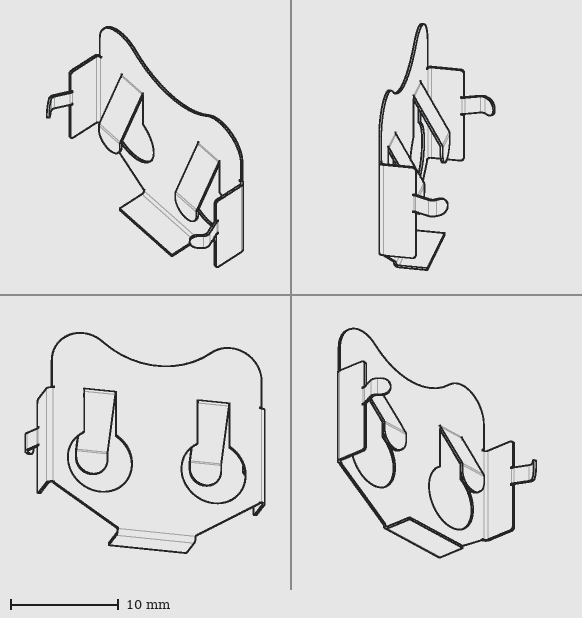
import cadquery as cq
import math

sheet = 0.22
bend_outer = 0.5
bend_inner = bend_outer - sheet
relief_gap = 0.1
joint_overlap = 0.11
overall_length = 22.5

ear_edge_x = 10.12
ear_radius = 3.0
plate_top_z = 19.65
valley_radius = 8.32
shoulder_x = 9.95

flange_x = 10.55
flange_depth = 3.6
flange_bottom_z = 4.55
flange_top_z = 13.93
flange_corner_radius = 0.34

foot_width = 7.52
foot_depth = 3.22
taper_end_z = 0.56

tongue_x = 5.5
tongue_width = 3.02
tongue_reach = 3.0
tongue_root_z = 14.05
tongue_knee_z = 9.1
tongue_tip_z = 6.82
opening_radius = 3.1
opening_z = 7.09
slot_width = 3.1
slot_top_z = 14.1

clip_z = 10.24
clip_width = 1.66
clip_root_depth = 3.49
clip_tip_depth = 6.6
clip_flare_angle = 24.0
clip_return_angle = 41.0
clip_bend_inner = 0.45
clip_bend_outer = clip_bend_inner + sheet
relief_depth = 3.33


def unit(start, end):
    """Unit vector from one 2D point to another."""
    length = math.dist(start, end)
    return ((end[0] - start[0]) / length, (end[1] - start[1]) / length)


def offset_path(points):
    """Path one sheet thickness to the left of the given one, with mitred corners."""
    directions = [unit(a, b) for a, b in zip(points, points[1:])]
    incoming = directions[:1] + directions
    outgoing = directions + directions[-1:]
    path = []
    for (x, y), (ux, uy), (vx, vy) in zip(points, incoming, outgoing):
        miter = sheet / (1 + ux * vx + uy * vy)
        path.append((x - miter * (uy + vy), y + miter * (ux + vx)))
    return path


def bent_strip(plane, points, width, right_radii, left_radii):
    """Strip of sheet whose right-hand face follows the points, centred on the plane.

    Each inner point is a bend, with one radius for each face of the sheet.
    """
    left_points = offset_path(points)
    strip = plane.polyline(points + left_points[::-1]).close().extrude(width / 2, both=True)
    bends = list(zip(points[1:-1], right_radii)) + list(zip(left_points[1:-1], left_radii))
    for corner, radius in bends:
        world_corner = plane.plane.toWorldCoords(corner)
        nearest = cq.selectors.NearestToPointSelector(world_corner.toTuple())
        strip = strip.edges(nearest).fillet(radius)
    return strip


def round_tip(plane, radius):
    """Half disc of sheet that rounds off a strip ending on the plane's X axis."""
    return (
        cq.Workplane(plane)
        .moveTo(-radius, 0)
        .threePointArc((0, radius), (radius, 0))
        .close()
        .extrude(sheet)
    )


def both_sides(body):
    return body.union(body.mirror("YZ"))


def make_plate():
    ear_x = ear_edge_x - ear_radius
    ear_z = plate_top_z - ear_radius
    valley_z = ear_z + math.sqrt((valley_radius + ear_radius) ** 2 - ear_x**2)
    valley_bottom_z = valley_z - valley_radius
    to_valley = unit((ear_x, ear_z), (0, valley_z))
    tangent_x = ear_x + ear_radius * to_valley[0]
    tangent_z = ear_z + ear_radius * to_valley[1]
    half_foot = foot_width / 2
    return (
        cq.Workplane("XZ")
        .moveTo(-half_foot, bend_outer)
        .lineTo(half_foot, bend_outer)
        .lineTo(half_foot, taper_end_z)
        .lineTo(shoulder_x, flange_bottom_z - relief_gap)
        .lineTo(shoulder_x, flange_top_z + relief_gap)
        .lineTo(ear_edge_x, flange_top_z + relief_gap)
        .lineTo(ear_edge_x, ear_z)
        .threePointArc((ear_x, plate_top_z), (tangent_x, tangent_z))
        .threePointArc((0, valley_bottom_z), (-tangent_x, tangent_z))
        .threePointArc((-ear_x, plate_top_z), (-ear_edge_x, ear_z))
        .lineTo(-ear_edge_x, flange_top_z + relief_gap)
        .lineTo(-shoulder_x, flange_top_z + relief_gap)
        .lineTo(-shoulder_x, flange_bottom_z - relief_gap)
        .lineTo(-half_foot, taper_end_z)
        .close()
        .extrude(sheet)
    )


def make_opening():
    """Round hole with a slot running up from it to the tongue root."""
    hole = cq.Workplane("XZ").center(-tongue_x, opening_z).circle(opening_radius).extrude(sheet)
    slot_height = slot_top_z - opening_z
    slot = (
        cq.Workplane("XZ")
        .center(-tongue_x, opening_z + slot_height / 2)
        .rect(slot_width, slot_height)
        .extrude(sheet)
    )
    return hole.union(slot)


def make_tongue():
    tip_radius = tongue_width / 2
    tip_centre_z = tongue_tip_z + tip_radius
    front_face = [
        (-sheet, slot_top_z + joint_overlap),
        (-sheet, tongue_root_z),
        (-tongue_reach, tongue_knee_z),
        (-tongue_reach, tip_centre_z),
    ]
    plane = cq.Workplane("YZ", origin=(-tongue_x, 0, 0))
    strip = bent_strip(
        plane, front_face, tongue_width, [bend_inner, bend_outer], [bend_outer, bend_inner]
    )
    tip_plane = cq.Plane(
        origin=(-tongue_x, -tongue_reach + sheet, tip_centre_z), xDir=(-1, 0, 0), normal=(0, -1, 0)
    )
    return strip.union(round_tip(tip_plane, tip_radius))


def make_foot():
    bottom_face = [(-foot_depth, 0), (0, 0), (0, taper_end_z)]
    return bent_strip(cq.Workplane("YZ"), bottom_face, foot_width, [bend_outer], [bend_inner])


def make_side_flange():
    height = flange_top_z - flange_bottom_z
    outer_face = [(-shoulder_x, 0), (-flange_x, 0), (-flange_x, -flange_depth)]
    plane = cq.Workplane("XY", origin=(0, 0, flange_bottom_z + height / 2))
    flange = bent_strip(plane, outer_face, height, [bend_outer], [bend_inner])
    flange = flange.faces("<Y").edges("|X").fillet(flange_corner_radius)
    relief_length = flange_depth - relief_depth
    relief_centre = (-flange_x + sheet / 2, -relief_depth - relief_length / 2, clip_z)
    relief = cq.Workplane("XY", origin=relief_centre).box(
        2 * sheet, relief_length, clip_width + 2 * relief_gap
    )
    return flange.cut(relief)


def make_clip():
    flare = math.radians(clip_flare_angle)
    back = math.radians(clip_return_angle)
    tip_radius = clip_width / 2
    setback = clip_bend_outer * math.tan((flare + back) / 2)
    bulge = clip_bend_outer * (1 - math.cos(flare))
    elbow_x = -overall_length / 2 - setback * math.sin(flare) + bulge
    elbow_depth = clip_root_depth + (-flange_x - elbow_x) / math.tan(flare)
    return_length = (clip_tip_depth - elbow_depth) / math.cos(back) - tip_radius
    tip_centre = (
        elbow_x + return_length * math.sin(back),
        -elbow_depth - return_length * math.cos(back),
    )
    outer_face = [
        (-flange_x, -relief_depth + joint_overlap),
        (-flange_x, -clip_root_depth),
        (elbow_x, -elbow_depth),
        tip_centre,
    ]
    strip = bent_strip(
        cq.Workplane("XY", origin=(0, 0, clip_z)),
        outer_face,
        clip_width,
        [clip_bend_inner, clip_bend_outer],
        [clip_bend_outer, clip_bend_inner],
    )
    inward = (math.cos(back), math.sin(back), 0)
    tip_plane = cq.Plane(origin=(*tip_centre, clip_z), xDir=(0, 0, 1), normal=inward)
    return strip.union(round_tip(tip_plane, tip_radius))


side_parts = make_side_flange().union(make_clip()).union(make_tongue())
result = (
    make_plate()
    .cut(both_sides(make_opening()))
    .union(make_foot())
    .union(both_sides(side_parts))
)